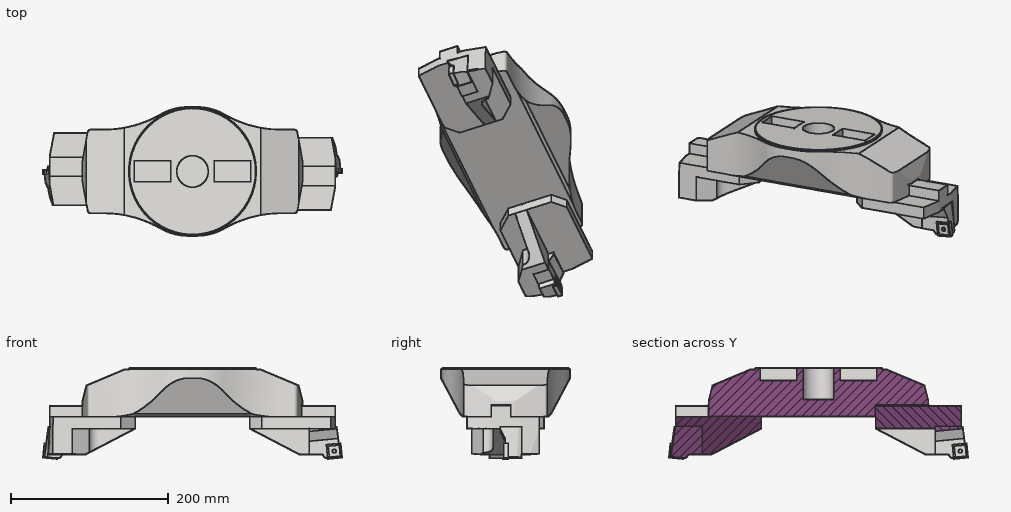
import cadquery as cq
import math


overall_length = 379.96
overall_height = 115.83

housing_height = 60.0
housing_half_width = 82.0
housing_end_half_width = 53.3
waist_flat_half = 5.0
end_straight_x = 111.6
waist_convex_radius = 70.0
end_x = 139.9
end_nose_half = 12.2
end_corner_x = 132.6
end_corner_radius = 4.5
top_flat_half = 86.5
shoulder_x = 134.8
shoulder_z = 39.6
end_strip_top_z = 19.5
flank_steep_z = 49.0
flank_low_y = 57.9
flank_low_z = 3.4
flank_base_y = 54.0

spigot_diameter = 162.0
spigot_height = 2.0
spigot_chamfer = 1.0
top_z = housing_height + spigot_height
bore_diameter = 40.0
bore_depth = 40.0
drive_slot_inner_x = 27.7
drive_slot_outer_x = 73.7
drive_slot_width = 26.8
drive_slot_depth = 16.0

plate_thickness = 15.2
plate_inner_x = 72.6
plate_outer_x = 181.5
plate_min_y = -49.0
plate_max_y = 43.0
plate_inner_chamfer_min_y = 15.2
plate_inner_chamfer_max_y = 18.2
plate_outer_corner_x = 175.8
plate_flat_min_y = -19.0
plate_flat_max_y = 15.3
key_min_y = -17.9
key_max_y = 6.4
key_height = 13.8
key_slot_clearance = 1.2
block_bottom_z = -48.2
block_edge_bottom_z = -47.2
block_bottom_flat_y = 29.8
block_face_y = 0.0
ramp_outer_x = 136.0
relief_outer_x = 152.9
relief_inner_x = 131.0
relief_step_y = 28.2
relief_fillet = 11.6
web_side_y = 15.8
end_face_y_slope = 0.18
end_face_z_slope = 0.063
end_corner_start_x = 177.4
end_corner_y_slope = 0.37
end_bottom_chamfer = 1.2

cartridge_inner_x = 148.1
cartridge_top_z = -12.7
cartridge_back_y = 20.6
cartridge_lip_y = -6.9
cartridge_face_y = -0.6
tilt = 5.5
lip_lower_z = -18.7
lip_taper_z = -31.2
heel_start_x = 164.7
heel_end_x = 168.7
heel_bottom_z = -52.9

nose_peak = (185.2, -0.3, -28.5)
nose_back_edge = (187.1, 14.1, -53.0)
nose_faces = [
    (nose_peak, 0.11, 0.143),
    (nose_peak, 0.08, 0.173),
    (nose_back_edge, 0.45, 0.117),
]

insert_side = 18.4
insert_thickness = 6.0
insert_front_y = -2.4
insert_hole_diameter = 4.7
insert_tip_x = overall_length / 2
insert_bottom_z = top_z - overall_height
chip_square = 14.0
chip_depth = 0.5

reach = 300.0


def mirrored_pair(shape, plane):
    """The shape and its mirror image as one cutting tool."""
    return shape.union(shape.mirror(plane))


def turned(body, angle):
    """The body turned about the spindle axis."""
    return body.rotate((0, 0, 0), (0, 0, 1), angle)


def y_prism(points, min_y, max_y):
    """Outline of (x, z) points extruded along Y."""
    return cq.Workplane("XZ", origin=(0, min_y, 0)).polyline(points).close().extrude(min_y - max_y)


def behind_plane(point, y_slope, z_slope):
    """All material on the -X side of x = x0 - y_slope * (y - y0) - z_slope * (z - z0)."""
    plane = cq.Plane(origin=point, xDir=(-y_slope, 1, 0), normal=(1, y_slope, z_slope))
    return cq.Workplane(plane).rect(2 * reach, 2 * reach).extrude(-2 * reach)


def housing_outline():
    """Plan outline: straight ends, S-curved waist sides and blunt pointed end faces."""
    curve_length = end_straight_x - waist_flat_half
    curve_rise = housing_half_width - housing_end_half_width
    turn = 2 * math.atan2(curve_rise, curve_length)
    concave_radius = curve_length / math.sin(turn) - waist_convex_radius
    joint = (
        waist_flat_half + waist_convex_radius * math.sin(turn),
        housing_half_width - waist_convex_radius * (1 - math.cos(turn)),
    )
    convex_middle = (
        waist_flat_half + waist_convex_radius * math.sin(turn / 2),
        housing_half_width - waist_convex_radius * (1 - math.cos(turn / 2)),
    )
    concave_middle = (
        end_straight_x - concave_radius * math.sin(turn / 2),
        housing_end_half_width + concave_radius * (1 - math.cos(turn / 2)),
    )
    quarter = (
        cq.Workplane("XY")
        .lineTo(0, housing_half_width)
        .lineTo(waist_flat_half, housing_half_width)
        .threePointArc(convex_middle, joint)
        .threePointArc(concave_middle, (end_straight_x, housing_end_half_width))
        .lineTo(end_corner_x, housing_end_half_width)
        .lineTo(end_x, end_nose_half)
        .lineTo(end_x, 0)
        .close()
        .extrude(housing_height)
    )
    corner = cq.selectors.NearestToPointSelector((end_corner_x, housing_end_half_width, housing_height / 2))
    quarter = quarter.edges(corner).fillet(end_corner_radius)
    half = mirrored_pair(quarter, "YZ")
    return mirrored_pair(half, "XZ").clean()


def make_housing():
    """Sloped, flank-chamfered body with a spigot on top and a slot for each slide's key below."""
    end_profile = [
        (-end_x, 0),
        (-end_x, end_strip_top_z),
        (-shoulder_x, shoulder_z),
        (-top_flat_half, housing_height),
        (top_flat_half, housing_height),
        (shoulder_x, shoulder_z),
        (end_x, end_strip_top_z),
        (end_x, 0),
    ]
    body = housing_outline().intersect(y_prism(end_profile, -reach, reach))

    flank = (
        cq.Workplane("YZ", origin=(-reach, 0, 0))
        .polyline([
            (flank_base_y, 0),
            (flank_low_y, flank_low_z),
            (housing_half_width, flank_steep_z),
            (reach, flank_steep_z),
            (reach, 0),
        ])
        .close()
        .extrude(2 * reach)
    )
    body = body.cut(mirrored_pair(flank, "XZ"))

    spigot = (
        cq.Workplane("XY", origin=(0, 0, housing_height))
        .circle(spigot_diameter / 2)
        .extrude(spigot_height)
        .faces(">Z")
        .chamfer(spigot_chamfer)
    )
    body = body.union(spigot)

    bore = cq.Workplane("XY", origin=(0, 0, top_z)).circle(bore_diameter / 2).extrude(-bore_depth)
    slot_middle_x = (drive_slot_inner_x + drive_slot_outer_x) / 2
    drive_slots = (
        cq.Workplane("XY", origin=(0, 0, top_z))
        .pushPoints([(-slot_middle_x, 0), (slot_middle_x, 0)])
        .rect(drive_slot_outer_x - drive_slot_inner_x, drive_slot_width)
        .extrude(-drive_slot_depth)
    )
    body = body.cut(bore).cut(drive_slots)

    key_slot = key_bar(end_x, key_height + key_slot_clearance)
    for angle in (0, 180):
        body = body.cut(turned(key_slot, angle))
    return body


def key_bar(outer_x, height):
    """Bar standing on the joint plane, from the inner end of the plate to outer_x."""
    return cq.Workplane("XY").box(
        outer_x - plate_inner_x, key_max_y - key_min_y, height, centered=False
    ).translate((plate_inner_x, key_min_y, 0))


def slide_plate():
    """Flat plate under the housing with 45 degree inner corners, and the key on top of it."""
    plate = (
        cq.Workplane("XY")
        .polyline([
            (plate_inner_x, plate_min_y + plate_inner_chamfer_min_y),
            (plate_inner_x + plate_inner_chamfer_min_y, plate_min_y),
            (plate_outer_corner_x, plate_min_y),
            (plate_outer_x, plate_flat_min_y),
            (plate_outer_x, plate_max_y),
            (plate_inner_x + plate_inner_chamfer_max_y, plate_max_y),
            (plate_inner_x, plate_max_y - plate_inner_chamfer_max_y),
        ])
        .close()
        .extrude(-plate_thickness)
    )
    return plate.union(key_bar(plate_outer_x, key_height))


def slide_block():
    """Ramped block that hangs below the plate, narrowed to a web behind the cartridge."""
    fillet_middle = (
        relief_inner_x - relief_fillet * (1 - math.sqrt(0.5)),
        web_side_y + relief_fillet * (1 - math.sqrt(0.5)),
    )
    block = (
        cq.Workplane("XY")
        .moveTo(plate_inner_x, block_face_y)
        .lineTo(plate_outer_x, block_face_y)
        .lineTo(plate_outer_x, cartridge_back_y)
        .lineTo(reach, cartridge_back_y)
        .lineTo(reach, plate_max_y)
        .lineTo(relief_outer_x, plate_max_y)
        .lineTo(relief_inner_x, relief_step_y)
        .lineTo(relief_inner_x, web_side_y + relief_fillet)
        .threePointArc(fillet_middle, (relief_inner_x - relief_fillet, web_side_y))
        .lineTo(plate_inner_x, web_side_y)
        .close()
        .extrude(block_bottom_z)
    )
    ramp_profile = [
        (plate_inner_x, 0),
        (plate_inner_x, -plate_thickness),
        (ramp_outer_x, block_bottom_z),
        (reach, block_bottom_z),
        (reach, 0),
    ]
    bottom_slope = (
        cq.Workplane("YZ")
        .polyline([
            (block_bottom_flat_y, block_bottom_z),
            (plate_max_y, block_edge_bottom_z),
            (plate_max_y, block_bottom_z),
        ])
        .close()
        .extrude(reach)
    )
    end_corner = behind_plane((end_corner_start_x, plate_max_y, 0), end_corner_y_slope, 0)
    chamfer_z = block_bottom_z + end_bottom_chamfer
    chamfer_x = (
        plate_outer_x
        - end_face_y_slope * (cartridge_back_y - plate_flat_max_y)
        - end_face_z_slope * chamfer_z
    )
    end_chamfer = behind_plane((chamfer_x, cartridge_back_y, chamfer_z), end_face_y_slope, -1)
    block = block.intersect(y_prism(ramp_profile, -reach, reach)).cut(bottom_slope)
    return block.intersect(end_corner).intersect(end_chamfer)


def make_slide():
    """Plate, key and block in one piece, with an open pocket for the cartridge."""
    end_face = behind_plane((plate_outer_x, plate_flat_max_y, 0), end_face_y_slope, end_face_z_slope)
    slide = slide_plate().union(slide_block()).intersect(end_face)
    pocket = cq.Workplane("XY").box(
        reach, cartridge_back_y - cartridge_lip_y, reach, centered=False
    ).translate((cartridge_inner_x, cartridge_lip_y, cartridge_top_z - reach))
    return slide.cut(pocket)


def make_insert(with_details=True):
    """Square insert, tilted about Y, with its lowest corner and its tip on the outer size."""
    angle = math.radians(tilt)
    half_span = insert_side * (math.cos(angle) + math.sin(angle)) / 2
    middle_x = insert_tip_x - half_span
    middle_z = insert_bottom_z + half_span
    face = cq.Workplane("XZ")
    insert = face.rect(insert_side, insert_side).extrude(-insert_thickness)
    if with_details:
        insert = insert.cut(face.rect(chip_square, chip_square).extrude(-chip_depth))
        insert = insert.cut(face.circle(insert_hole_diameter / 2).extrude(-insert_thickness))
    insert = insert.rotate((0, 0, 0), (0, 1, 0), -tilt)
    return insert.translate((middle_x, insert_front_y, middle_z))


def make_cartridge(insert_seat):
    """Tool nose with a lip at the top, a tilted underside and a seat cut for the insert."""
    rise = math.tan(math.radians(tilt))
    side_profile = [
        (cartridge_inner_x, cartridge_top_z),
        (cartridge_inner_x, block_bottom_z),
        (heel_start_x, block_bottom_z),
        (heel_end_x, heel_bottom_z),
        (reach, heel_bottom_z + rise * (reach - heel_end_x)),
        (reach, cartridge_top_z),
    ]
    cartridge = y_prism(side_profile, cartridge_lip_y, cartridge_back_y)
    under_lip = (
        cq.Workplane("YZ")
        .polyline([
            (cartridge_lip_y, lip_lower_z),
            (cartridge_face_y, lip_taper_z),
            (cartridge_face_y, -reach),
            (-reach, -reach),
            (-reach, lip_lower_z),
        ])
        .close()
        .extrude(reach)
        .rotate((cartridge_inner_x, 0, lip_lower_z), (cartridge_inner_x, 1, lip_lower_z), -tilt)
    )
    cartridge = cartridge.cut(under_lip)
    for point, y_slope, z_slope in nose_faces:
        cartridge = cartridge.intersect(behind_plane(point, y_slope, z_slope))
    return cartridge.cut(insert_seat)


def both_ends(body):
    """The body and its copy half a turn around the spindle axis."""
    return [turned(body, angle).val() for angle in (0, 180)]


housing = make_housing()
slides = both_ends(make_slide())
cartridges = both_ends(make_cartridge(make_insert(with_details=False)))
inserts = both_ends(make_insert())

result = cq.Compound.makeCompound([housing.val(), *slides, *cartridges, *inserts])